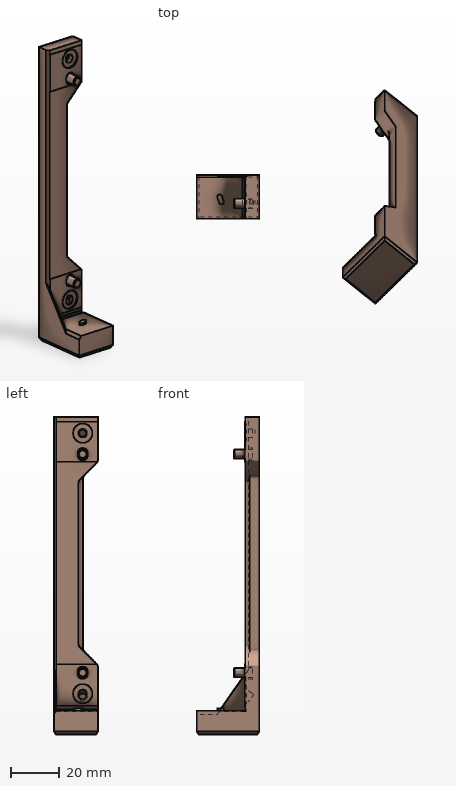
import cadquery as cq
import math

foot_length = 26.0
width = 18.3
height = 132.0
foot_height = 10.0
column_thickness = 6.0
edge_chamfer_width = 1.0
edge_chamfer_depth = 1.5
sole_chamfer_height = 1.5
sole_chamfer_inset = 0.87

column_face_x = foot_length - column_thickness
open_side_y = -width / 2
gusset_side_y = width / 2

mounting_center_z = 71.1

notch_half_length = 42.4
back_notch_depth = 6.2
front_notch_depth = 8.2
front_layer_thickness = 2.0
notch_fillet = 2.0

lower_pad_length = 17.2
upper_pad_length = 16.6
pad_end_margin = 2.0
relief_depth = 0.07

mount_y = -2.8
screw_offset = 54.1
seat_diameter = 8.0
seat_depth = 0.5
screw_hole_diameter = 3.5
upper_hole_depth = 3.0
pilot_diameter = 3.0
pilot_depth = 0.9
lower_hole_depth = 3.0
lower_hole_tilt = 30.0

pin_offset = 45.4
pin_diameter = 4.0
pin_protrusion = 4.8
pin_tip_chamfer = 0.4
slot_width = 4.1
slot_length = 5.1
slot_depth = 3.0

groove_reach = 1.2
groove_slope_length = 0.8
groove_depth = 0.3
groove_undercut = 0.4
groove_rise = 0.5

gusset_thickness = 0.8
gusset_start_x = 9.5
gusset_slope = 55.0

boss_x = 9.9
boss_y = -1.0
boss_width = 2.0
boss_length = 4.2
boss_height = 0.9
boss_angle = 110.0


def box(x_range, y_range, z_range):
    """Box between two limits along each axis."""
    size = [high - low for low, high in (x_range, y_range, z_range)]
    corner = (x_range[0], y_range[0], z_range[0])
    return cq.Workplane("XY").box(*size, centered=False).translate(corner)


def front_face_plane(x, y, z):
    """Plane at a point of the column front, drawn in Y and Z, with its normal along +X."""
    return cq.Workplane(cq.Plane(origin=(x, y, z), xDir=(0, 1, 0), normal=(1, 0, 0)))


def edge_chamfer_cutter(length, plane):
    """Triangular prism that bevels a gusset-side edge lying on the plane's origin."""
    return (
        cq.Workplane(plane)
        .polyline([(0, 0), (-edge_chamfer_width, 0), (0, -edge_chamfer_depth)])
        .close()
        .extrude(length)
    )


def make_foot():
    """Foot block with a bevelled gusset-side top edge and a sole that tapers in on all sides."""
    block = box((0, foot_length), (open_side_y, gusset_side_y), (sole_chamfer_height, foot_height))
    edge = cq.Plane(origin=(0, gusset_side_y, foot_height), xDir=(0, 1, 0), normal=(1, 0, 0))
    block = block.cut(edge_chamfer_cutter(column_face_x, edge))
    taper = math.degrees(math.atan2(sole_chamfer_inset, sole_chamfer_height))
    sole = (
        cq.Workplane("XY", origin=(foot_length / 2, 0, sole_chamfer_height))
        .rect(foot_length, width)
        .extrude(-sole_chamfer_height, taper=taper)
    )
    return block.union(sole)


def notch_cutter(depth, start_x, end_x):
    """Notch with 45-degree ends, rounded where they meet its floor and the open side."""
    floor_half = notch_half_length - depth
    floor_y = open_side_y + depth
    run_out = 2 * notch_fillet
    outside_y = open_side_y - run_out
    end = notch_half_length + run_out
    outline = [
        (outside_y, -end),
        (open_side_y, -end),
        (open_side_y, -notch_half_length),
        (floor_y, -floor_half),
        (floor_y, floor_half),
        (open_side_y, notch_half_length),
        (open_side_y, end),
        (outside_y, end),
    ]
    cutter = front_face_plane(start_x, 0, mounting_center_z).polyline(outline).close().extrude(end_x - start_x)
    margin = 1.3
    rounded = cq.selectors.BoxSelector(
        (start_x - margin, open_side_y - margin, mounting_center_z - notch_half_length - margin),
        (end_x + margin, floor_y + margin, mounting_center_z + notch_half_length + margin),
    )
    return cutter.edges("|X").edges(rounded).fillet(notch_fillet)


def make_column():
    """Upright column with a bevelled front edge, relieved front face and notched open side."""
    body = box((column_face_x, foot_length), (open_side_y, gusset_side_y), (foot_height, height))
    pads_bottom = foot_height + pad_end_margin
    pads_top = height - pad_end_margin
    reliefs = [
        (foot_height, pads_bottom),
        (pads_bottom + lower_pad_length, pads_top - upper_pad_length),
        (pads_top, height),
    ]
    relief_x = (column_face_x, column_face_x + relief_depth)
    for z_range in reliefs:
        body = body.cut(box(relief_x, (open_side_y, gusset_side_y), z_range))
    edge = cq.Plane(origin=(column_face_x, gusset_side_y, 0), xDir=(0, 1, 0), normal=(0, 0, 1))
    body = body.cut(edge_chamfer_cutter(height, edge))
    step_x = column_face_x + front_layer_thickness
    body = body.cut(notch_cutter(front_notch_depth, column_face_x, step_x))
    return body.cut(notch_cutter(back_notch_depth, step_x, foot_length))


def make_gusset():
    """Triangular rib whose sloping edge rises from the foot to the column."""
    rise = math.tan(math.radians(gusset_slope))
    bottom_z = foot_height - edge_chamfer_depth
    back_x = column_face_x + edge_chamfer_depth
    start_x = gusset_start_x - edge_chamfer_depth / rise
    return (
        cq.Workplane("XZ", origin=(0, gusset_side_y, 0))
        .polyline([(start_x, bottom_z), (back_x, bottom_z), (back_x, bottom_z + (back_x - start_x) * rise)])
        .close()
        .extrude(gusset_thickness)
    )


def make_boss():
    """Oblong boss on the foot."""
    return (
        cq.Workplane("XY", origin=(boss_x, boss_y, foot_height))
        .slot2D(boss_length, boss_width, boss_angle)
        .extrude(boss_height)
    )


def relief_groove():
    """Groove that undercuts the inside corner, sloping on the foot and rounded into the column."""
    floor_z = foot_height - groove_depth
    wall_x = column_face_x + groove_undercut
    return (
        cq.Workplane("XZ", origin=(0, gusset_side_y - edge_chamfer_width, 0))
        .moveTo(column_face_x - groove_reach, foot_height)
        .lineTo(column_face_x - groove_reach + groove_slope_length, floor_z)
        .lineTo(column_face_x, floor_z)
        .radiusArc((wall_x, floor_z + groove_undercut), -groove_undercut)
        .lineTo(wall_x, foot_height + groove_rise)
        .lineTo(column_face_x - groove_reach, foot_height + groove_rise)
        .close()
        .extrude(width)
    )


def seat(z):
    """Shallow round recess around a hole."""
    return front_face_plane(column_face_x, mount_y, z).circle(seat_diameter / 2).extrude(seat_depth)


def upper_hole(z):
    """Blind hole with a narrower pilot at its bottom."""
    hole = front_face_plane(column_face_x, mount_y, z).circle(screw_hole_diameter / 2).extrude(upper_hole_depth)
    return hole.faces(">X").workplane().circle(pilot_diameter / 2).extrude(pilot_depth)


def lower_hole(z):
    """Blind hole that drops towards the back of the column."""
    lead = 2.6
    tilt = math.radians(lower_hole_tilt)
    axis = cq.Vector(math.cos(tilt), 0, -math.sin(tilt))
    mouth = cq.Vector(column_face_x, mount_y, z)
    return cq.Workplane(
        cq.Solid.makeCylinder(screw_hole_diameter / 2, lower_hole_depth + lead, mouth - axis * lead, axis)
    )


def pin_slot(z):
    """Upright blind slot that takes a pin."""
    return (
        front_face_plane(column_face_x, mount_y, z)
        .slot2D(slot_length, slot_width, 90)
        .extrude(slot_depth)
    )


def make_pin(z):
    """Dowel pin with a chamfered tip, standing on the floor of its slot."""
    length = pin_protrusion + slot_depth
    pin = front_face_plane(column_face_x - pin_protrusion, mount_y, z).circle(pin_diameter / 2).extrude(length)
    return pin.faces("<X").chamfer(pin_tip_chamfer)


def make_bracket():
    """Foot, column, gusset and boss as one solid, with the groove, holes and slots cut."""
    body = make_foot().union(make_column()).union(make_gusset())
    body = body.cut(relief_groove()).union(make_boss())
    for side in (1, -1):
        body = body.cut(seat(mounting_center_z + side * screw_offset))
        body = body.cut(pin_slot(mounting_center_z + side * pin_offset))
    body = body.cut(upper_hole(mounting_center_z + screw_offset))
    return body.cut(lower_hole(mounting_center_z - screw_offset))


bracket = make_bracket()
pins = [make_pin(mounting_center_z + side * pin_offset) for side in (1, -1)]

result = cq.Compound.makeCompound([bracket.val(), *[pin.val() for pin in pins]])